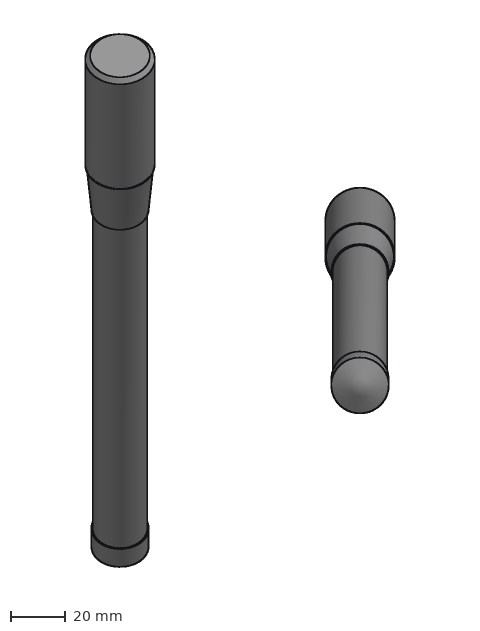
import cadquery as cq

total_length = 263.0

head_diameter = 21.0
point_height = 4.0
head_top = 13.5

neck_diameter = 20.0
taper_bottom = 182.0
taper_bottom_diameter = 21.0
taper_top = 205.7
taper_top_diameter = 24.7
grip_diameter = 25.5
grip_chamfer = 1.8


def revolve_about_z(outline):
    """Turn a closed (radius, height) outline about the Z axis."""
    return cq.Workplane("XZ").polyline(outline).close().revolve(360, (0, 0), (0, 1))


def make_cutting_head():
    """Cylindrical head with a conical point, ending flat against the neck."""
    radius = head_diameter / 2
    return revolve_about_z([
        (0, 0),
        (radius, point_height),
        (radius, head_top),
        (0, head_top),
    ])


def make_shank():
    """Neck widening through small steps and a taper into the grip."""
    neck_radius = neck_diameter / 2
    grip_radius = grip_diameter / 2
    return revolve_about_z([
        (0, head_top),
        (neck_radius, head_top),
        (neck_radius, taper_bottom),
        (taper_bottom_diameter / 2, taper_bottom),
        (taper_top_diameter / 2, taper_top),
        (grip_radius, taper_top),
        (grip_radius, total_length - grip_chamfer),
        (grip_radius - grip_chamfer, total_length),
        (0, total_length),
    ])


cutting_head = make_cutting_head()
shank = make_shank()

result = cq.Compound.makeCompound([cutting_head.val(), shank.val()])